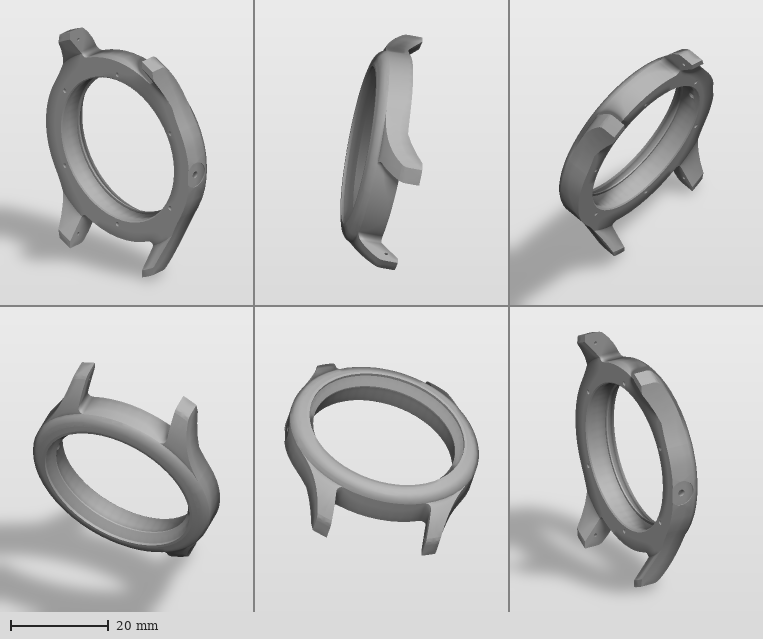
import cadquery as cq
import math


case_diameter = 40.0
case_radius = case_diameter / 2
back_height = 3.5
bezel_base_height = 8.5
case_height = 10.5

lug_gap_half = 10.0
lug_length_half = 24.55
flank_radius = 39.25
flank_tangent_angle = math.radians(29)
lug_root_fillet = 1.0
lug_tip_radius = math.hypot(lug_gap_half, lug_length_half)

underside_root_radius = 21.05
underside_tip_radius = 25.05
lug_top_mid_radius = 23.35
lug_top_mid_height = 6.67
lug_top_tip_height = 3.65
lug_tip_fillet = 2.1

bezel_shoulder_radius = 18.1
bezel_shoulder_height = 10.2
bezel_top_radius = 17.0
bezel_bulge = 0.35

bore_radius = 15.55
bore_chamfer = 0.25
bore_end_height = 7.95
lip_radius = 15.0
lip_end_height = 8.25
crystal_seat_radius = 16.4
crystal_seat_height = 9.9

screw_count = 6
screw_circle_radius = 17.0
screw_hole_diameter = 1.0
screw_hole_depth = 2.95
drill_point_angle = 118.0

crown_hole_diameter = 1.45
crown_height = 5.6
crown_recess_diameter = 5.4
crown_recess_depth = 0.3
spring_bar_hole_diameter = 0.75
spring_bar_hole_depth = 1.45
spring_bar_offset = 22.1
spring_bar_height = 2.45


def revolved_about_y(profile):
    return profile.close().revolve(360, (0, 0, 0), (0, 1, 0))


def up_to_bezel(outline):
    """Extrude an XZ outline from the lug tip level towards +Y, up to the bezel."""
    return outline.extrude(-bezel_base_height)


def flank_point(z):
    """Point on the concave outer flank of the +X +Z lug."""
    centre_distance = case_radius + flank_radius
    centre_x = centre_distance * math.cos(flank_tangent_angle)
    centre_z = centre_distance * math.sin(flank_tangent_angle)
    return (centre_x - math.sqrt(flank_radius**2 - (z - centre_z) ** 2), z)


def lug_outline(side, end):
    """Outline of one lug, from the case centre out past the tip."""
    tangent_z = case_radius * math.sin(flank_tangent_angle)
    fillet_centre_x = lug_gap_half - lug_root_fillet
    fillet_centre_z = math.sqrt((case_radius + lug_root_fillet) ** 2 - fillet_centre_x**2)
    fillet_ratio = case_radius / (case_radius + lug_root_fillet)
    fillet_mid_angle = math.atan2(-fillet_centre_z, -fillet_centre_x) / 2
    fillet_start = (lug_gap_half, fillet_centre_z)
    fillet_mid = (
        fillet_centre_x + lug_root_fillet * math.cos(fillet_mid_angle),
        fillet_centre_z + lug_root_fillet * math.sin(fillet_mid_angle),
    )
    fillet_end = (fillet_centre_x * fillet_ratio, fillet_centre_z * fillet_ratio)

    def place(point):
        return (side * point[0], end * point[1])

    return (
        cq.Workplane("XZ")
        .lineTo(*place(flank_point(tangent_z)))
        .threePointArc(
            place(flank_point((tangent_z + lug_tip_radius) / 2)),
            place(flank_point(lug_tip_radius)),
        )
        .lineTo(*place((lug_gap_half, lug_tip_radius)))
        .lineTo(*place(fillet_start))
        .threePointArc(place(fillet_mid), place(fillet_end))
        .close()
    )


def case_band():
    """Round band and four lugs, trimmed by the revolved lug envelope."""
    band = up_to_bezel(cq.Workplane("XZ").circle(case_radius))
    for side in (-1, 1):
        for end in (-1, 1):
            band = band.union(up_to_bezel(lug_outline(side, end)))
    envelope = revolved_about_y(
        cq.Workplane("XY")
        .moveTo(0, back_height)
        .lineTo(underside_root_radius, back_height)
        .lineTo(underside_tip_radius, 0)
        .lineTo(lug_tip_radius, 0)
        .lineTo(lug_tip_radius, lug_top_tip_height)
        .threePointArc(
            (lug_top_mid_radius, lug_top_mid_height),
            (case_radius, bezel_base_height),
        )
        .lineTo(0, bezel_base_height)
    )
    tip_rim = cq.selectors.NearestToPointSelector((0, lug_top_tip_height, 0))
    return band.intersect(envelope.edges("%CIRCLE").edges(tip_rim).fillet(lug_tip_fillet))


def bezel():
    mid_radius = (case_radius + bezel_shoulder_radius) / 2
    mid_height = (bezel_base_height + bezel_shoulder_height) / 2
    bulge_offset = bezel_bulge / math.sqrt(2)
    return revolved_about_y(
        cq.Workplane("XY")
        .moveTo(0, bezel_base_height)
        .lineTo(case_radius, bezel_base_height)
        .threePointArc(
            (mid_radius + bulge_offset, mid_height + bulge_offset),
            (bezel_shoulder_radius, bezel_shoulder_height),
        )
        .lineTo(bezel_top_radius, case_height)
        .lineTo(0, case_height)
    )


def bore():
    """Chamfered movement bore, narrow lip, flared cone and crystal seat."""
    return revolved_about_y(
        cq.Workplane("XY")
        .moveTo(0, back_height)
        .lineTo(bore_radius + bore_chamfer, back_height)
        .lineTo(bore_radius, back_height + bore_chamfer)
        .lineTo(bore_radius, bore_end_height)
        .lineTo(lip_radius, bore_end_height)
        .lineTo(lip_radius, lip_end_height)
        .lineTo(crystal_seat_radius, crystal_seat_height)
        .lineTo(crystal_seat_radius, case_height)
        .lineTo(0, case_height)
    )


def screw_holes():
    """Blind holes in the caseback face with conical drill points."""
    hole_radius = screw_hole_diameter / 2
    point_length = hole_radius / math.tan(math.radians(drill_point_angle / 2))
    hole = revolved_about_y(
        cq.Workplane("XY")
        .moveTo(0, back_height)
        .lineTo(hole_radius, back_height)
        .lineTo(hole_radius, back_height + screw_hole_depth)
        .lineTo(0, back_height + screw_hole_depth + point_length)
    ).translate((0, 0, screw_circle_radius))
    holes = cq.Workplane("XY")
    for index in range(screw_count):
        holes = holes.union(hole.rotate((0, 0, 0), (0, 1, 0), index * 360 / screw_count))
    return holes


def crown_hole():
    """Hole through the +X wall with a shallow round recess outside it."""
    axis = cq.Workplane("YZ").center(crown_height, 0)
    hole = axis.circle(crown_hole_diameter / 2).extrude(case_radius)
    recess = (
        axis.workplane(offset=case_radius - crown_recess_depth)
        .circle(crown_recess_diameter / 2)
        .extrude(crown_recess_depth)
    )
    return hole.union(recess)


def spring_bar_holes():
    """Blind holes in the inner lug faces, drilled outwards from the gap."""
    reach = lug_gap_half + spring_bar_hole_depth
    return (
        cq.Workplane("YZ")
        .pushPoints([(spring_bar_height, -spring_bar_offset), (spring_bar_height, spring_bar_offset)])
        .circle(spring_bar_hole_diameter / 2)
        .extrude(reach, both=True)
    )


result = (
    case_band()
    .union(bezel())
    .cut(bore())
    .cut(screw_holes())
    .cut(crown_hole())
    .cut(spring_bar_holes())
)